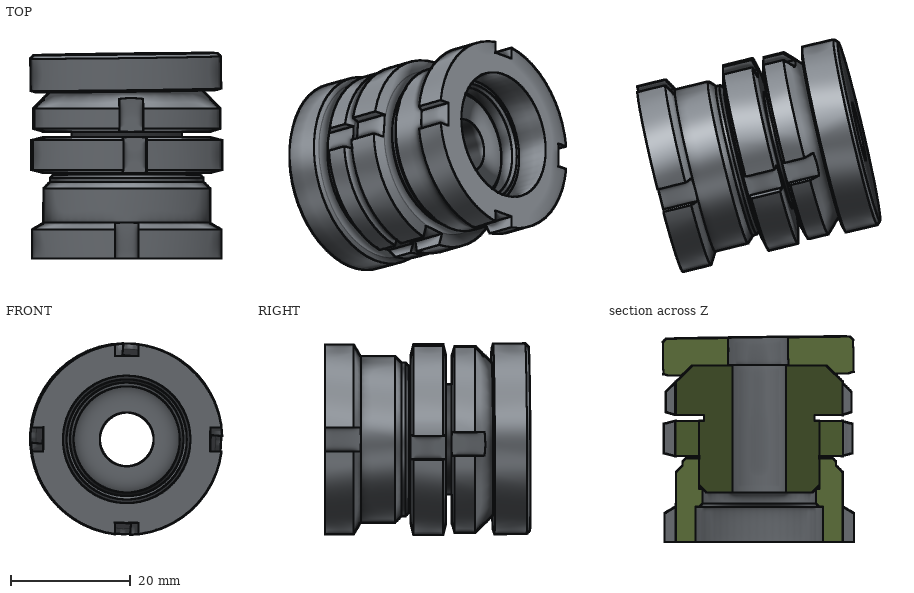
import cadquery as cq


outer_radius = 15.98
root_radius = 13.95
slot_width = 4.0
slot_count = 4
thread_radius = 10.0
bevel_depth = 0.5

flange_rim_depth = 4.8
flange_depth = 6.0
neck_end = 11.7
collar_radius = 12.85
collar_start = neck_end + root_radius - collar_radius
collar_chamfer = 0.6
sleeve_length = 14.02
sleeve_bore_radius = 10.65
sleeve_bore_depth = 5.88
lip_radius = 9.5
lip_cone_radius = 10.05
lip_cone_depth = lip_cone_radius - lip_radius

stem_front = 8.25
stem_tip_radius = 8.87
stem_hole_radius = 4.47
relief_radius = 9.25
head_front = 21.17
head_radius = 15.67
head_rim_end = 25.1
head_back = 29.55
head_back_radius = head_radius - (head_back - head_rim_end)
seat_turn = 3.0

ring_front = 14.3
ring_width = 5.98
ring_back = ring_front + ring_width
ring_turn = 5.2

cap_radius = 15.95
cap_front = 27.95
cap_back = 34.15
cap_face_radius = 15.02
cap_front_bevel = 0.27
cap_back_chamfer = 0.6
cap_hole_radius = 5.0
cap_pivot = 16.5
cap_tilt_x = 0.4
cap_tilt_z = 0.7


def turned(points):
    """Revolve a closed outline of (radius, Y) points about the Y axis."""
    return cq.Workplane("XY").polyline(points).close().revolve(360, (0, 0, 0), (0, 1, 0))


def cylinder(radius, start, end):
    return turned([(0, start), (radius, start), (radius, end), (0, end)])


def cut_slots(body, start, end, turn):
    """Cut the spanner slots into a rim between two Y positions, turned about Y."""
    slot = cq.Workplane("XY").box(slot_width, end - start, outer_radius, centered=(True, False, False))
    slot = slot.translate((0, start, root_radius))
    for index in range(slot_count):
        angle = turn + index * 360 / slot_count
        body = body.cut(slot.rotate((0, 0, 0), (0, 1, 0), angle))
    return body


def make_sleeve():
    lip_start = sleeve_bore_depth + lip_cone_depth
    lip_end = stem_front + lip_radius - stem_tip_radius
    body = turned([
        (sleeve_bore_radius, 0),
        (outer_radius, 0),
        (outer_radius, flange_rim_depth),
        (root_radius, flange_depth),
        (root_radius, neck_end),
        (collar_radius, collar_start),
        (collar_radius, sleeve_length - collar_chamfer),
        (collar_radius - collar_chamfer, sleeve_length),
        (thread_radius, sleeve_length),
        (thread_radius, lip_end),
        (lip_radius, lip_end),
        (lip_radius, lip_start),
        (lip_cone_radius, sleeve_bore_depth),
        (sleeve_bore_radius, sleeve_bore_depth),
    ])
    return cut_slots(body, 0, flange_depth, 0)


def make_lock_ring():
    body = turned([
        (thread_radius, ring_front),
        (root_radius, ring_front),
        (outer_radius, ring_front + bevel_depth),
        (outer_radius, ring_back - bevel_depth),
        (root_radius, ring_back),
        (thread_radius, ring_back),
    ])
    return cut_slots(body, ring_front, ring_back, ring_turn)


def make_seat():
    tip_chamfer = thread_radius - stem_tip_radius
    head = turned([
        (0, head_front),
        (root_radius, head_front),
        (head_radius, head_front + bevel_depth),
        (head_radius, head_rim_end),
        (head_back_radius, head_back),
        (0, head_back),
    ])
    head = cut_slots(head, head_front, head_back, seat_turn)
    stem = turned([
        (0, stem_front),
        (stem_tip_radius, stem_front),
        (thread_radius, stem_front + tip_chamfer),
        (thread_radius, ring_back),
        (relief_radius, ring_back),
        (relief_radius, head_front),
        (0, head_front),
    ])
    return head.union(stem).cut(cylinder(stem_hole_radius, stem_front, head_back))


def make_cap():
    body = turned([
        (cap_hole_radius, cap_front),
        (cap_face_radius, cap_front),
        (cap_radius, cap_front + cap_front_bevel),
        (cap_radius, cap_back - cap_back_chamfer),
        (cap_radius - cap_back_chamfer, cap_back),
        (cap_hole_radius, cap_back),
    ])
    pivot = (0, cap_pivot, 0)
    body = body.rotate(pivot, (1, cap_pivot, 0), cap_tilt_x)
    body = body.rotate(pivot, (0, cap_pivot, 1), cap_tilt_z)
    recess = turned([
        (0, head_rim_end),
        (head_radius, head_rim_end),
        (head_back_radius, head_back),
        (0, head_back),
    ])
    return body.cut(recess)


sleeve = make_sleeve()
lock_ring = make_lock_ring()
seat = make_seat()
cap = make_cap()

result = cq.Compound.makeCompound([sleeve.val(), lock_ring.val(), seat.val(), cap.val()])